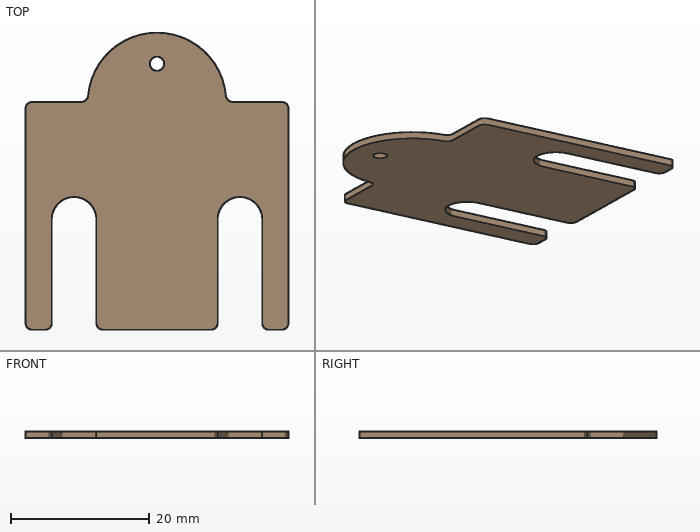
import cadquery as cq

width = 38.0
overall_length = 42.95
thickness = 1.0
corner_radius = 1.0

head_radius = 10.0
hole_diameter = 2.0
hole_from_head_center = 5.5

slot_width = 6.4
slot_offset = 12.0
slot_straight_length = 16.0

body_length = overall_length - head_radius
hole_y = body_length + hole_from_head_center


def make_plate():
    """Rectangular body with a round head, lower edge on the X axis."""
    body = cq.Workplane("XY").rect(width, body_length).extrude(thickness)
    body = body.translate((0, body_length / 2, 0))
    head = cq.Workplane("XY").center(0, body_length).circle(head_radius).extrude(thickness)
    return body.union(head)


def make_slot(center_x):
    """Round-ended slot that opens through the lower edge."""
    half_width = slot_width / 2
    return (
        cq.Workplane("XY")
        .moveTo(center_x - half_width, 0)
        .lineTo(center_x - half_width, slot_straight_length)
        .threePointArc(
            (center_x, slot_straight_length + half_width),
            (center_x + half_width, slot_straight_length),
        )
        .lineTo(center_x + half_width, 0)
        .close()
        .extrude(thickness)
    )


plate = make_plate()
for side in (-1, 1):
    plate = plate.cut(make_slot(side * slot_offset))

lower_corners = cq.selectors.BoxSelector(
    (-width, -corner_radius, -thickness), (width, corner_radius, 2 * thickness)
)
upper_corners = cq.selectors.BoxSelector(
    (-width, body_length - corner_radius, -thickness),
    (width, body_length + corner_radius, 2 * thickness),
)
plate = plate.edges("|Z").edges(lower_corners + upper_corners).fillet(corner_radius)

hole = cq.Workplane("XY").center(0, hole_y).circle(hole_diameter / 2).extrude(thickness)
result = plate.cut(hole)